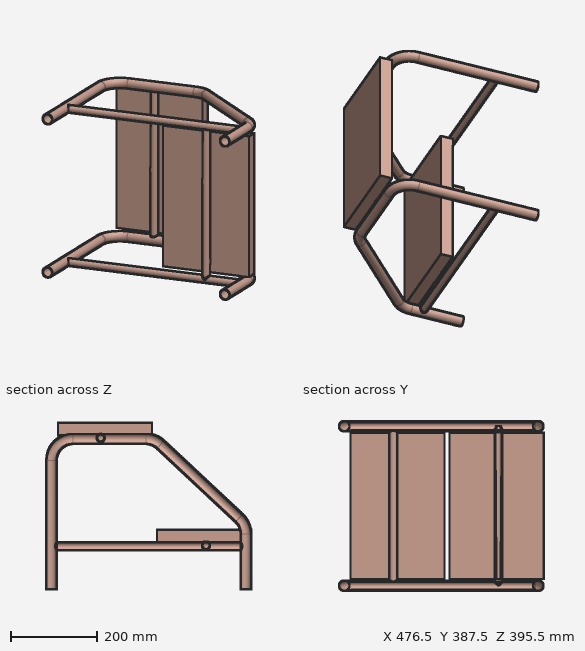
import cadquery as cq
import math


LENGTH = 476.5
WIDTH = 395.5
HEIGHT = 387.5

FRAME_OD = 25.3
FRAME_ID = 23.0
BEND_RADIUS = 50.0
RAIL_Y = 350.0
SLOPE_TOP_X = 251.0
SLOPE_BOTTOM_Y = 150.5
TALL_LEG_X = FRAME_OD / 2
SHORT_LEG_X = LENGTH - FRAME_OD / 2
FRAME_Z = (WIDTH - FRAME_OD) / 2

BAR_OD = 19.0
BAR_ID = 16.5
SIDE_BAR_Y = 100.0
UPPER_CROSS_X = 126.8
LOWER_CROSS_X = 371.0
CROSS_RISE = 2.15

TREAD_LENGTH = 219.0
TREAD_THICKNESS = 30.0
TREAD_WIDTH = 340.2
UPPER_TREAD_X = 27.0
LOWER_TREAD_X = LENGTH - TREAD_LENGTH
UPPER_TREAD_Y = HEIGHT - TREAD_THICKNESS
LOWER_TREAD_Y = 108.5


def add_bend(path, before, corner, after):
    """Extend the path to a corner and round it with an arc of the bend radius."""
    corner = cq.Vector(*corner)
    back = (cq.Vector(*before) - corner).normalized()
    ahead = (cq.Vector(*after) - corner).normalized()
    half_angle = back.getAngle(ahead) / 2
    setback = BEND_RADIUS / math.tan(half_angle)
    crown = BEND_RADIUS / math.sin(half_angle) - BEND_RADIUS
    middle = corner + (back + ahead).normalized() * crown
    start = corner + back * setback
    end = corner + ahead * setback
    path = path.lineTo(start.x, start.y)
    return path.threePointArc((middle.x, middle.y), (end.x, end.y))


def frame_sweep(diameter, z):
    """Solid round rod along the frame centre line."""
    corners = [
        (TALL_LEG_X, 0),
        (TALL_LEG_X, RAIL_Y),
        (SLOPE_TOP_X, RAIL_Y),
        (SHORT_LEG_X, SLOPE_BOTTOM_Y),
        (SHORT_LEG_X, 0),
    ]
    path = cq.Workplane("XY", origin=(0, 0, z)).moveTo(*corners[0])
    for before, corner, after in zip(corners, corners[1:], corners[2:]):
        path = add_bend(path, before, corner, after)
    path = path.lineTo(*corners[-1])
    foot = cq.Workplane("XZ", origin=(TALL_LEG_X, 0, z))
    return foot.circle(diameter / 2).sweep(path)


def rod(start, end, diameter):
    """Solid round rod between two points."""
    start = cq.Vector(*start)
    axis = cq.Vector(*end) - start
    return cq.Workplane(cq.Solid.makeCylinder(diameter / 2, axis.Length, start, axis))


def side_bar_rod(diameter, z):
    """Rod from the tall leg axis to the short leg axis."""
    return rod((TALL_LEG_X, SIDE_BAR_Y, z), (SHORT_LEG_X, SIDE_BAR_Y, z), diameter)


def cross_bar_rod(x, y, diameter):
    """Slightly tilted rod from one frame plane to the other."""
    return rod((x, y, -FRAME_Z), (x, y + CROSS_RISE, FRAME_Z), diameter)


def make_frame(z):
    return frame_sweep(FRAME_OD, z).cut(frame_sweep(FRAME_ID, z))


def make_side_bar(z):
    """Tube with both ends coped to fit against the legs."""
    tube = side_bar_rod(BAR_OD, z).cut(side_bar_rod(BAR_ID, z))
    return tube.cut(frame_sweep(FRAME_OD, z))


def make_cross_bar(x, y, supports):
    """Tube with both ends coped to fit against the supporting tubes."""
    tube = cross_bar_rod(x, y, BAR_OD).cut(cross_bar_rod(x, y, BAR_ID))
    for support in supports:
        tube = tube.cut(support)
    return cq.Workplane(max(tube.solids().vals(), key=lambda solid: solid.Volume()))


def make_tread(x, y, cross_x, cross_y):
    """Board with a shallow groove underneath that seats on its cross bar."""
    corner = (x, y, -TREAD_WIDTH / 2)
    size = (TREAD_LENGTH, TREAD_THICKNESS, TREAD_WIDTH)
    board = cq.Workplane("XY", origin=corner).box(*size, centered=False)
    return board.cut(cross_bar_rod(cross_x, cross_y, BAR_OD))


frame_planes = (-FRAME_Z, FRAME_Z)
frames = [make_frame(z) for z in frame_planes]
side_bars = [make_side_bar(z) for z in frame_planes]

frame_rods = [frame_sweep(FRAME_OD, z) for z in frame_planes]
side_bar_rods = [side_bar_rod(BAR_OD, z) for z in frame_planes]
cross_bars = [
    make_cross_bar(UPPER_CROSS_X, RAIL_Y, frame_rods),
    make_cross_bar(LOWER_CROSS_X, SIDE_BAR_Y, side_bar_rods),
]

treads = [
    make_tread(UPPER_TREAD_X, UPPER_TREAD_Y, UPPER_CROSS_X, RAIL_Y),
    make_tread(LOWER_TREAD_X, LOWER_TREAD_Y, LOWER_CROSS_X, SIDE_BAR_Y),
]

bodies = frames + side_bars + cross_bars + treads
result = cq.Compound.makeCompound([body.solids().val() for body in bodies])